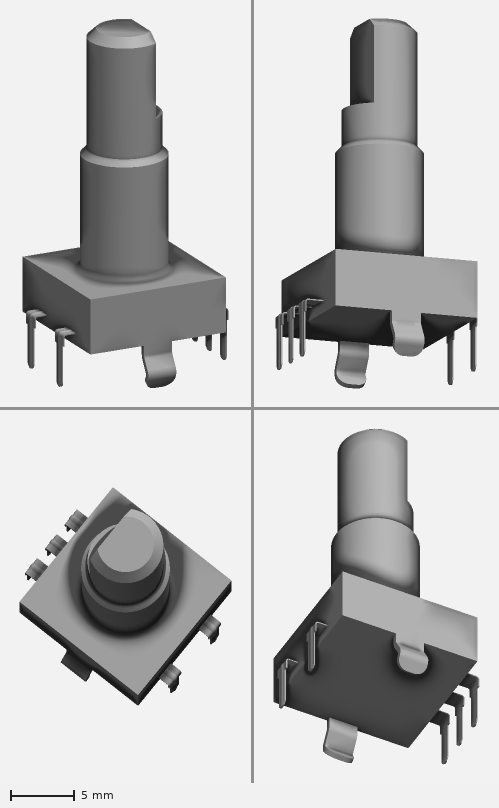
import cadquery as cq
import math


BLOCK_X = 11.8
BLOCK_Y = 12.0
BLOCK_HEIGHT = 4.6
BUSHING_DIAMETER = 7.0
BUSHING_LENGTH = 10.0
BUSHING_FILLET = 0.48

SHAFT_DIAMETER = 6.0
SHAFT_LENGTH = 9.93
SHAFT_TIP_DROP = 0.7
SHAFT_TIP_INSET = 0.75
FLAT_OFFSET = 1.5
FLAT_LENGTH = 6.98
BUSHING_CHAMFER = (BUSHING_DIAMETER - SHAFT_DIAMETER) / 2

CLIP_THICKNESS = 0.42
CLIP_WIDTH = 2.48
CLIP_TIP_RADIUS = 0.9
CLIP_BEND_RADIUS = 0.62
CLIP_STRAIGHT = 0.98
CLIP_ELBOW_OUT = 0.85
CLIP_ELBOW_DEPTH = 2.35
CLIP_END_OUT = 0.1
CLIP_END_DEPTH = 3.52

TERMINAL_TOP = 1.0
TERMINAL_DEPTH = 3.52
TERMINAL_PITCH = 2.5
TERMINAL_THICKNESS = 0.1
TERMINAL_BEND_RADIUS = 0.25
RIB_HEIGHT = 0.05
FRONT_REACH = 1.1
BACK_REACH = 1.6

OUTER_SHOULDER_WIDTH = 1.52
OUTER_LEG_WIDTH = 1.0
OUTER_RIB_WIDTH = 0.5
OUTER_TIP_RADIUS = 0.48

CENTRE_SHOULDER_WIDTH = 1.44
CENTRE_LEG_WIDTH = 0.93
CENTRE_RIB_WIDTH = 0.42
CENTRE_TIP_CHAMFER = 0.25

BUSHING_TOP = BLOCK_HEIGHT + BUSHING_LENGTH
SHAFT_TOP = BUSHING_TOP + SHAFT_LENGTH


def rounded_path(plane, points, radius):
    """Open polyline through the points, with a tangent arc at each inner corner."""
    path = cq.Workplane(plane).moveTo(*points[0])
    for before, corner, after in zip(points, points[1:], points[2:]):
        corner = cq.Vector(*corner)
        back = (cq.Vector(*before) - corner).normalized()
        ahead = (cq.Vector(*after) - corner).normalized()
        half_angle = back.getAngle(ahead) / 2
        trim = radius / math.tan(half_angle)
        gap = radius / math.sin(half_angle) - radius
        start = corner + back * trim
        middle = corner + (back + ahead).normalized() * gap
        end = corner + ahead * trim
        path = path.lineTo(start.x, start.y)
        path = path.threePointArc((middle.x, middle.y), (end.x, end.y))
    return path.lineTo(*points[-1])


def make_clip():
    """Clip on the +X side: bent outward, then back in, with rounded tip corners."""
    middle_x = (BLOCK_X - CLIP_THICKNESS) / 2
    centre_line = [
        (middle_x, 0),
        (middle_x, -CLIP_STRAIGHT),
        (middle_x + CLIP_ELBOW_OUT, -CLIP_ELBOW_DEPTH),
        (middle_x + CLIP_END_OUT, -CLIP_END_DEPTH),
    ]
    path = rounded_path("XZ", centre_line, CLIP_BEND_RADIUS)
    clip = cq.Workplane("XY").center(middle_x, 0).rect(CLIP_THICKNESS, CLIP_WIDTH).sweep(path)

    end_face = cq.Workplane(clip.faces("<Z").val())
    return clip.newObject(end_face.edges("#Y").vals()).fillet(CLIP_TIP_RADIUS)


def make_housing():
    """Block, bushing and the two clips as one body."""
    block = cq.Workplane("XY").box(BLOCK_X, BLOCK_Y, BLOCK_HEIGHT, centered=(True, True, False))
    bushing = (
        cq.Workplane("XY", origin=(0, 0, BLOCK_HEIGHT))
        .circle(BUSHING_DIAMETER / 2)
        .extrude(BUSHING_LENGTH)
        .faces(">Z")
        .chamfer(BUSHING_CHAMFER)
    )
    around_bushing_foot = cq.selectors.BoxSelector(
        (-BUSHING_DIAMETER, -BUSHING_DIAMETER, BLOCK_HEIGHT - BUSHING_FILLET),
        (BUSHING_DIAMETER, BUSHING_DIAMETER, BLOCK_HEIGHT + BUSHING_FILLET),
    )
    housing = block.union(bushing)
    housing = housing.edges("%CIRCLE").edges(around_bushing_foot).fillet(BUSHING_FILLET)

    clip = make_clip()
    return housing.union(clip, clean=False).union(clip.mirror("YZ"), clean=False)


def make_shaft():
    """D-shaft that stands on the bushing."""
    shaft = (
        cq.Workplane("XY", origin=(0, 0, BUSHING_TOP))
        .circle(SHAFT_DIAMETER / 2)
        .extrude(SHAFT_LENGTH)
    )
    shaft = shaft.faces(">Z").chamfer(SHAFT_TIP_DROP, SHAFT_TIP_INSET)
    flat_cut = cq.Workplane("XY", origin=(0, FLAT_OFFSET, SHAFT_TOP - FLAT_LENGTH)).box(
        SHAFT_DIAMETER, SHAFT_DIAMETER, FLAT_LENGTH, centered=(True, False, False)
    )
    return shaft.cut(flat_cut)


def make_terminal(x, reach, shoulder_width, leg_width, rib_width):
    """Terminal on the -Y side with square tip corners; reach includes the rib."""
    wall_y = -BLOCK_Y / 2
    leg_y = wall_y - reach + RIB_HEIGHT
    path = rounded_path(
        "YZ",
        [(wall_y, TERMINAL_TOP), (leg_y, TERMINAL_TOP), (leg_y, -TERMINAL_DEPTH)],
        TERMINAL_BEND_RADIUS,
    )
    strip = (
        cq.Workplane("XZ", origin=(0, wall_y, TERMINAL_TOP))
        .moveTo(-shoulder_width / 2, -TERMINAL_THICKNESS)
        .lineTo(shoulder_width / 2, -TERMINAL_THICKNESS)
        .lineTo(shoulder_width / 2, 0)
        .lineTo(rib_width / 2, 0)
        .threePointArc((0, RIB_HEIGHT), (-rib_width / 2, 0))
        .lineTo(-shoulder_width / 2, 0)
        .close()
        .sweep(path)
    )

    for side in (-1, 1):
        notch_x = side * (leg_width + shoulder_width) / 2
        notch = cq.Workplane("XY", origin=(notch_x, wall_y, -TERMINAL_DEPTH)).box(
            shoulder_width, 2 * reach, TERMINAL_DEPTH, centered=(True, True, False)
        )
        strip = strip.cut(notch)
    return strip.translate((x, 0, 0))


def make_outer_terminal(x, reach):
    """Terminal with a rounded tip."""
    terminal = make_terminal(x, reach, OUTER_SHOULDER_WIDTH, OUTER_LEG_WIDTH, OUTER_RIB_WIDTH)
    return terminal.faces("<Z").edges("|Y").fillet(OUTER_TIP_RADIUS)


def make_centre_terminal(reach):
    """Slightly narrower terminal with a chamfered tip."""
    terminal = make_terminal(0, reach, CENTRE_SHOULDER_WIDTH, CENTRE_LEG_WIDTH, CENTRE_RIB_WIDTH)
    return terminal.faces("<Z").edges("|Y").chamfer(CENTRE_TIP_CHAMFER)


def on_back(terminal):
    """Turn a -Y side terminal to the +Y side."""
    return terminal.rotate((0, 0, 0), (0, 0, 1), 180)


housing = make_housing()
shaft = make_shaft()

terminals = [on_back(make_centre_terminal(BACK_REACH))]
for terminal_x in (-TERMINAL_PITCH, TERMINAL_PITCH):
    terminals.append(make_outer_terminal(terminal_x, FRONT_REACH))
    terminals.append(on_back(make_outer_terminal(terminal_x, BACK_REACH)))

result = cq.Compound.makeCompound(
    [housing.val(), shaft.val(), *[terminal.val() for terminal in terminals]]
)